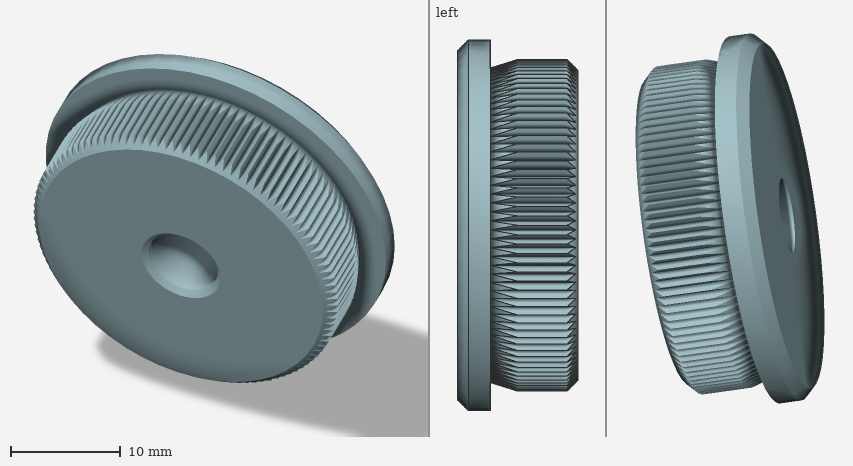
import cadquery as cq
import math

flange_radius = 16.85
total_length = 11.0
flange_thickness = 3.0
flange_chamfer = 1.0

tooth_count = 110
tip_radius = 15.05
root_radius = 14.3
plug_chamfer = 1.0
lead_in_length = 2.45
plug_length = total_length - flange_thickness

bore_radius = 3.4
countersink_radius = 3.9
countersink_depth = countersink_radius - bore_radius


def turned(profile):
    """Revolve a closed (radius, distance from the plug face) profile about the Y axis."""
    return cq.Workplane("XY").polyline(profile).close().revolve(360, (0, 0, 0), (0, 1, 0))


def polar(radius, angle):
    return (radius * math.cos(angle), radius * math.sin(angle))


def toothed_bar(length):
    """Bar with V-shaped teeth; one tip points along +X."""
    half_pitch = math.pi / tooth_count
    outline = []
    for tooth in range(tooth_count):
        tip_angle = 2 * tooth * half_pitch
        outline.append(polar(tip_radius, tip_angle))
        outline.append(polar(root_radius, tip_angle + half_pitch))
    return cq.Workplane("XZ").polyline(outline).close().extrude(-length)


def plug():
    """Toothed bar turned down to a chamfer at its face and a cone at the flange."""
    envelope = turned([
        (0, 0),
        (tip_radius - plug_chamfer, 0),
        (tip_radius, plug_chamfer),
        (tip_radius, plug_length - lead_in_length),
        (root_radius, plug_length),
        (0, plug_length),
    ])
    return toothed_bar(plug_length).intersect(envelope)


def flange():
    """Plain disc with a chamfered back edge."""
    return turned([
        (0, plug_length),
        (flange_radius, plug_length),
        (flange_radius, total_length - flange_chamfer),
        (flange_radius - flange_chamfer, total_length),
        (0, total_length),
    ])


def countersunk_bore():
    return turned([
        (0, 0),
        (countersink_radius, 0),
        (bore_radius, countersink_depth),
        (bore_radius, total_length),
        (0, total_length),
    ])


result = plug().union(flange()).cut(countersunk_bore())